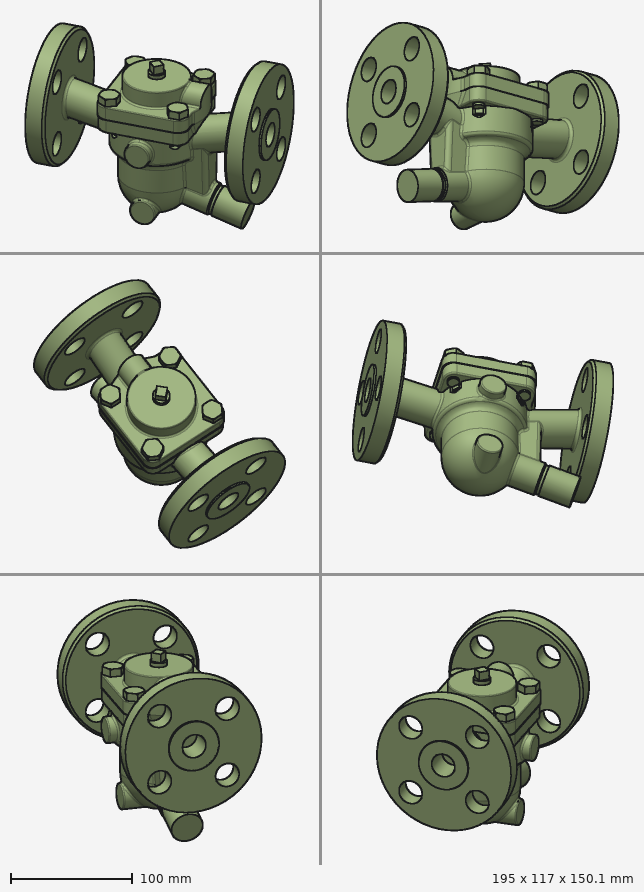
import cadquery as cq
import math


margin = 0.2
overlap = 2.0

flange_dia = 117.0
flange_thickness = 16.8
flange_chamfer = 2.1
raised_face_dia = 42.9
raised_face_height = 1.8
bolt_hole_dia = 20.0
bolt_hole_offset = 29.0
bore_dia = 20.0
bore_depth = 25.4
overall_length = 195.0
inlet_face_x = -95.0
outlet_face_x = inlet_face_x + overall_length
flange_stack = raised_face_height + flange_thickness

pipe_dia = 32.0
pipe_fillet = 2.5
inlet_slope = 11.2
outlet_slope = 15.0
pipe_end_x = 23.4
inlet_fillet = 2.3
outlet_fillet = 2.3

square_side = 79.5
square_corner = 9.8
square_fillet = 0.8
cover_top_z = 20.5
joint_z = 8.4
body_flange_bottom_z = -4.0
body_flange_inset = 0.5
body_flange_fillet = 1.4
cap_dia = 56.5
cap_top_z = 35.7
cap_fillet = 1.5
cap_edge = 0.8

lug_radius = 45.2
lug_half_width = 23.4
lug_fillet = 7.8
duct_width = 25.0
duct_top_z = 34.7

collar_dia = 14.0
collar_height = 3.5
stem_side = 8.8
stem_top_z = 46.8
stem_turn = 45

bolt_offset = 30.0
bolt_dia = 10.0
bolt_end_z = -6.2
bolt_tip_z = -10.3
head_across_flats = 16.0
head_height = 6.8
head_edge = 0.8
hex_half_angle = 30
pocket_dia = 13.0
pocket_floor_z = -11.0
drill_point_half_angle = 45.0

upper_dia = 78.0
lower_dia = 63.8
upper_radius = upper_dia / 2
lower_radius = lower_dia / 2
shoulder_top_z = -26.0
shoulder_bottom_z = -35.9
shoulder_round = 3.5
dome_centre_z = -57.0

boss_dia = 22.0
boss_edge = 1.0
boss_fillet = 1.8
upper_boss_z = -16.8
upper_boss_face_y = -46.0
lower_boss_z = -76.2
lower_boss_face_y = -33.3

drain_slope = 15.0
drain_length = 83.3
drain_dia = 27.0
drain_neck_dia = 28.0
drain_neck_length = 53.5
drain_neck_chamfer = 1.2
drain_groove_width = 2.7
drain_groove_dia = 25.4
rib_outer_x = 49.1
rib_top_half_width = 15.2
rib_bottom_half_width = 11.5
rib_corner = 4.3


def fillet_within(solid, low, high, radius):
    """Fillet the edges that lie wholly between two opposite corners of a box."""
    return solid.edges(cq.selectors.BoxSelector(low, high, boundingbox=True)).fillet(radius)


def disc(dia, bottom_z, top_z):
    """Vertical cylinder on the body axis."""
    return cq.Workplane("XY").workplane(offset=bottom_z).circle(dia / 2).extrude(top_z - bottom_z)


def rod(dia, start, direction, length):
    """Cylinder from a start point along a direction."""
    return cq.Workplane(cq.Solid.makeCylinder(dia / 2, length, cq.Vector(*start), cq.Vector(*direction)))


def end_connection(face_x, inward, slope):
    """Flange with its sloping pipe; inward is the X sign from the flange face to the body."""
    back_x = face_x + inward * flange_stack
    flange = rod(flange_dia, (face_x + inward * raised_face_height, 0, 0), (inward, 0, 0), flange_thickness)
    back_face = ">X" if inward > 0 else "<X"
    flange = flange.faces(back_face).edges().chamfer(flange_chamfer)

    buried = flange_thickness / 2
    tilt = math.radians(slope)
    run = abs(back_x) - pipe_end_x + buried
    start = (back_x - inward * buried, 0, buried * math.tan(tilt))
    direction = (inward * math.cos(tilt), 0, -math.sin(tilt))
    pipe = rod(pipe_dia, start, direction, run / math.cos(tilt))
    low = (back_x - margin, -pipe_dia, -pipe_dia)
    high = (back_x + margin, pipe_dia, pipe_dia)
    connection = fillet_within(flange.union(pipe), low, high, pipe_fillet)

    raised_face = rod(raised_face_dia, (face_x, 0, 0), (inward, 0, 0), flange_stack / 2)
    connection = connection.union(raised_face)
    for y in (-bolt_hole_offset, bolt_hole_offset):
        for z in (-bolt_hole_offset, bolt_hole_offset):
            connection = connection.cut(rod(bolt_hole_dia, (face_x, y, z), (inward, 0, 0), flange_stack))
    return connection


def square_plate(side, bottom_z, top_z):
    plate = cq.Workplane("XY").workplane(offset=bottom_z).rect(side, side).extrude(top_z - bottom_z)
    return plate.edges("|Z").fillet(square_corner)


def lug(bottom_z, top_z, bottom_radius):
    """Lug on the +X side, round about the body axis and tapering to its bottom radius."""
    profile = [(0, bottom_z), (bottom_radius, bottom_z), (lug_radius, top_z), (0, top_z)]
    turned = cq.Workplane("XZ").polyline(profile).close().revolve(360, (0, 0), (0, 1))
    strip = cq.Workplane("XY").box(
        2 * lug_radius, 2 * lug_half_width, top_z - bottom_z, centered=(False, True, False)
    )
    return turned.intersect(strip.translate((0, 0, bottom_z)))


def plate_with_lug(side, bottom_z, top_z, lug_bottom_radius):
    plate = square_plate(side, bottom_z, top_z).union(lug(bottom_z, top_z, lug_bottom_radius))
    low = (side / 2 - margin, -lug_half_width, bottom_z - margin)
    high = (side / 2 + margin, lug_half_width, top_z + margin)
    return fillet_within(plate, low, high, lug_fillet)


def duct():
    """Straight-sided duct with a half-round roof, from the cap to the face of the lug."""
    axis_z = duct_top_z - duct_width / 2
    roof = rod(duct_width, (0, 0, axis_z), (1, 0, 0), lug_radius + overlap)
    walls = cq.Workplane("XY").box(
        lug_radius + overlap, duct_width, axis_z - joint_z, centered=(False, True, False)
    )
    return roof.union(walls.translate((0, 0, joint_z))).intersect(disc(2 * lug_radius, joint_z, cap_top_z))


def cover():
    plate = plate_with_lug(square_side, joint_z, cover_top_z, lug_radius)
    plate = plate.faces(">Z").edges().fillet(square_fillet)
    cap = disc(cap_dia, joint_z, cap_top_z).faces(">Z").edges().fillet(cap_edge)
    raised = plate.union(duct()).union(cap)
    reach = cap_dia / 2 + margin
    low = (-reach, -reach, cover_top_z - margin)
    high = (lug_radius - cap_fillet / 2, reach, duct_top_z + margin)
    return fillet_within(raised, low, high, cap_fillet)


def stem():
    collar = disc(collar_dia, cap_top_z - overlap, cap_top_z + collar_height)
    square = cq.Workplane("XY").workplane(offset=cap_top_z).rect(stem_side, stem_side)
    square = square.extrude(stem_top_z - cap_top_z).rotate((0, 0, 0), (0, 0, 1), stem_turn)
    return collar.union(square)


def body():
    """Turned body: wide top, S-shaped shoulder, straight neck and domed bottom."""
    width = upper_radius - lower_radius
    height = shoulder_top_z - shoulder_bottom_z
    sweep = 2 * math.atan2(width, height)
    hollow_round = height / math.sin(sweep) - shoulder_round

    def convex(angle):
        return (
            upper_radius - shoulder_round * (1 - math.cos(angle)),
            shoulder_top_z - shoulder_round * math.sin(angle),
        )

    def concave(angle):
        return (
            lower_radius + hollow_round * (1 - math.cos(angle)),
            shoulder_bottom_z + hollow_round * math.sin(angle),
        )

    diagonal = lower_radius * math.sqrt(0.5)
    outline = (
        cq.Workplane("XZ")
        .moveTo(0, cover_top_z - overlap)
        .lineTo(upper_radius, cover_top_z - overlap)
        .lineTo(upper_radius, shoulder_top_z)
        .threePointArc(convex(sweep / 2), convex(sweep))
        .threePointArc(concave(sweep / 2), (lower_radius, shoulder_bottom_z))
        .lineTo(lower_radius, dome_centre_z)
        .threePointArc((diagonal, dome_centre_z - diagonal), (0, dome_centre_z - lower_radius))
        .close()
    )
    return outline.revolve(360, (0, 0), (0, 1))


def body_flange():
    side = square_side - 2 * body_flange_inset
    taper = (joint_z - body_flange_bottom_z) * math.tan(math.radians(outlet_slope))
    plate = plate_with_lug(side, body_flange_bottom_z, joint_z, lug_radius - taper)
    return plate.faces("<Z").edges().fillet(body_flange_fillet)


def front_boss(z, face_y):
    boss = rod(boss_dia, (0, face_y, z), (0, 1, 0), -face_y)
    return boss.faces("<Y").edges().fillet(boss_edge)


def drain():
    tilt = math.radians(drain_slope)
    direction = (math.cos(tilt), 0, -math.sin(tilt))
    start = (0, 0, dome_centre_z)
    neck = rod(drain_neck_dia, start, direction, drain_neck_length)
    neck = neck.faces(">X").edges().chamfer(drain_neck_chamfer)
    core = rod(drain_groove_dia, start, direction, drain_length)
    tail_start = drain_neck_length + drain_groove_width
    tail_point = (tail_start * direction[0], 0, dome_centre_z + tail_start * direction[2])
    tail = rod(drain_dia, tail_point, direction, drain_length - tail_start)
    return neck.union(core).union(tail)


def rib():
    """Upright rib joining the outlet pipe to the drain neck."""
    outlet_back_x = outlet_face_x - flange_stack
    top_z = -(outlet_back_x - rib_outer_x) * math.tan(math.radians(outlet_slope))
    bottom_z = dome_centre_z - rib_outer_x * math.tan(math.radians(drain_slope))
    corners = [
        (-rib_bottom_half_width, bottom_z),
        (rib_bottom_half_width, bottom_z),
        (rib_top_half_width, top_z),
        (-rib_top_half_width, top_z),
    ]
    block = cq.Workplane("YZ").polyline(corners).close().extrude(rib_outer_x)
    return block.faces(">X").edges("not |Y").fillet(rib_corner)


def bolt_head(x, y, angle):
    corner_dia = head_across_flats / math.cos(math.radians(hex_half_angle))
    head = cq.Workplane("XY").workplane(offset=cover_top_z).polygon(6, corner_dia).extrude(head_height)
    turned = disc(corner_dia, cover_top_z, cover_top_z + head_height).faces(">Z").edges().chamfer(head_edge)
    return head.intersect(turned).rotate((0, 0, 0), (0, 0, 1), angle).translate((x, y, 0))


def bolt_pocket(x, y):
    """Relief in the body wall round a bolt end, with a drill-point floor."""
    radius = pocket_dia / 2
    point_z = pocket_floor_z - radius / math.tan(math.radians(drill_point_half_angle))
    profile = [(0, body_flange_bottom_z), (radius, body_flange_bottom_z), (radius, pocket_floor_z), (0, point_z)]
    return cq.Workplane("XZ").polyline(profile).close().revolve(360, (0, 0), (0, 1)).translate((x, y, 0))


def casting():
    """Solid body with both end connections, the drain, the rib and the front bosses blended in."""
    solid = body()
    bosses = ((upper_boss_z, upper_boss_face_y), (lower_boss_z, lower_boss_face_y))
    for z, face_y in bosses:
        solid = solid.union(front_boss(z, face_y))
        low = (-boss_dia, -upper_radius - margin, z - boss_dia / 2 - margin)
        high = (boss_dia, -margin, z + boss_dia / 2 + margin)
        solid = fillet_within(solid, low, high, boss_fillet)

    solid = solid.union(end_connection(inlet_face_x, 1, inlet_slope))
    low = (-upper_radius - margin, -pipe_dia, -pipe_dia)
    high = (-pipe_end_x, pipe_dia, cover_top_z)
    solid = fillet_within(solid, low, high, inlet_fillet)

    solid = solid.union(end_connection(outlet_face_x, -1, outlet_slope)).union(drain()).union(rib())
    low = (margin, -pipe_dia, dome_centre_z - lower_radius)
    high = (rib_outer_x + margin, pipe_dia, cover_top_z)
    return fillet_within(solid, low, high, outlet_fillet)


def bolted(solid):
    """Cut the relief pockets and add the four bolts; neighbouring heads are turned by half a hexagon side."""
    turned = body()
    for side_x in (-1, 1):
        for side_y in (-1, 1):
            x = side_x * bolt_offset
            y = side_y * bolt_offset
            angle = hex_half_angle if side_x == side_y else 0
            tip = disc(bolt_dia, bolt_tip_z, joint_z).translate((x, y, 0)).intersect(turned)
            end = disc(bolt_dia, bolt_end_z, joint_z).translate((x, y, 0))
            solid = solid.cut(bolt_pocket(x, y)).union(tip).union(end).union(bolt_head(x, y, angle))
    return solid


result = bolted(casting()).union(body_flange()).union(cover()).union(stem())
for face_x, inward in ((inlet_face_x, 1), (outlet_face_x, -1)):
    result = result.cut(rod(bore_dia, (face_x, 0, 0), (inward, 0, 0), bore_depth))